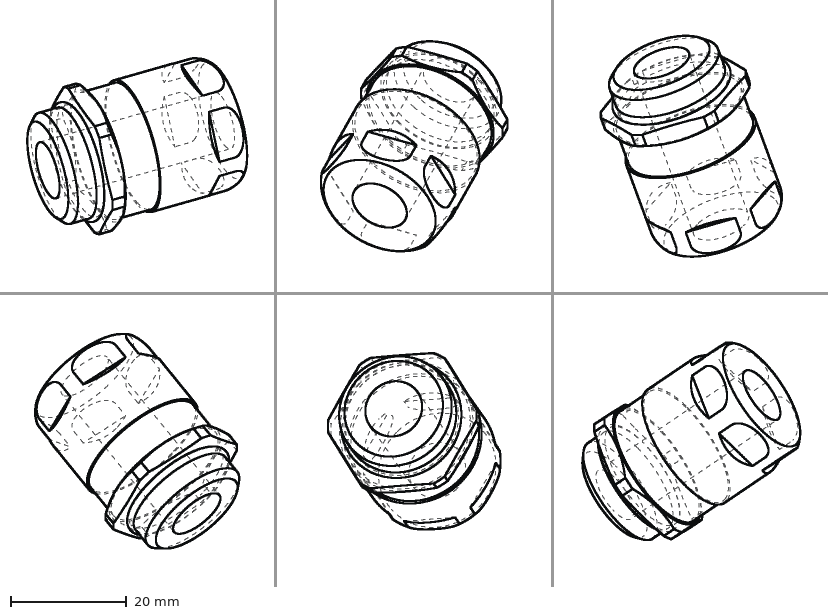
import cadquery as cq
import math

total_length = 33.1
bore_diameter = 10.1

spigot_radius = 20.0 / 2
spigot_chamfer = 1.25

ring_start = 4.8
ring_outer_radius = 10.72

flange_start = 6.2
flange_end = 9.5
flange_across_flats = 23.9
flange_corner_diameter = 26.38
flange_front_face_radius = 11.7
flange_front_chamfer = 0.2
flange_back_chamfer = 0.8

neck_radius = 22.8 / 2

nut_start = 16.1
nut_radius = 23.7 / 2
dome_start = 30.1
dome_arc_radius = 3.9
flat_distance = 10.95
flat_start = 27.27
flat_count = 6

ring_middle = (ring_start + flange_start) / 2
flange_corner_radius = flange_corner_diameter / 2


def revolve_about_y(profile):
    """Turn a closed (radius, Y) profile around the Y axis."""
    return profile.close().revolve(360, (0, 0, 0), (0, 1, 0))


def make_spigot():
    return revolve_about_y(
        cq.Workplane("XY")
        .lineTo(spigot_radius - spigot_chamfer, 0)
        .lineTo(spigot_radius, spigot_chamfer)
        .lineTo(spigot_radius, flange_start)
        .lineTo(0, flange_start)
    )


def make_sealing_ring():
    """Disc with a half-round rim bulging out of the spigot, seated against the flange."""
    return revolve_about_y(
        cq.Workplane("XY")
        .moveTo(0, ring_start)
        .lineTo(spigot_radius, ring_start)
        .threePointArc((ring_outer_radius, ring_middle), (spigot_radius, flange_start))
        .lineTo(0, flange_start)
    )


def make_flange():
    """Hexagon trimmed by a turned blank, which rounds its corners and chamfers both faces."""
    across_corners = flange_across_flats / math.cos(math.pi / 6)
    hexagon = (
        cq.Workplane("XZ", origin=(0, flange_start, 0))
        .polygon(6, across_corners)
        .extrude(flange_start - flange_end)
    )
    blank = revolve_about_y(
        cq.Workplane("XY")
        .moveTo(0, flange_start)
        .lineTo(flange_front_face_radius, flange_start)
        .lineTo(flange_corner_radius, flange_start + flange_front_chamfer)
        .lineTo(flange_corner_radius, flange_end - flange_back_chamfer)
        .lineTo(nut_radius, flange_end)
        .lineTo(0, flange_end)
    )
    return hexagon.intersect(blank)


def make_neck():
    return revolve_about_y(
        cq.Workplane("XY")
        .moveTo(0, flange_end)
        .lineTo(neck_radius, flange_end)
        .lineTo(neck_radius, nut_start)
        .lineTo(0, nut_start)
    )


def make_nut():
    dome_center_radius = nut_radius - dome_arc_radius
    end_angle = math.asin((total_length - dome_start) / dome_arc_radius)

    def dome_point(angle):
        return (
            dome_center_radius + dome_arc_radius * math.cos(angle),
            dome_start + dome_arc_radius * math.sin(angle),
        )

    nut = revolve_about_y(
        cq.Workplane("XY")
        .moveTo(0, nut_start)
        .lineTo(nut_radius, nut_start)
        .lineTo(nut_radius, dome_start)
        .threePointArc(dome_point(end_angle / 2), dome_point(end_angle))
        .lineTo(0, total_length)
    )
    for index in range(flat_count):
        nut = nut.cut(make_flat_cutter().rotate((0, 0, 0), (0, 1, 0), index * 360 / flat_count))
    return nut


def make_flat_cutter():
    """Cutter for one wrench flat on +Z, with a 45 degree run-out toward the neck."""
    cutter_depth = nut_radius
    return (
        cq.Workplane("YZ")
        .moveTo(total_length, flat_distance)
        .lineTo(flat_start, flat_distance)
        .lineTo(flat_start - cutter_depth, flat_distance + cutter_depth)
        .lineTo(total_length, flat_distance + cutter_depth)
        .close()
        .extrude(nut_radius, both=True)
    )


body = make_spigot()
for section in (make_sealing_ring(), make_flange(), make_neck(), make_nut()):
    body = body.union(section)

bore = cq.Workplane("XZ").circle(bore_diameter / 2).extrude(-total_length)
result = body.cut(bore)